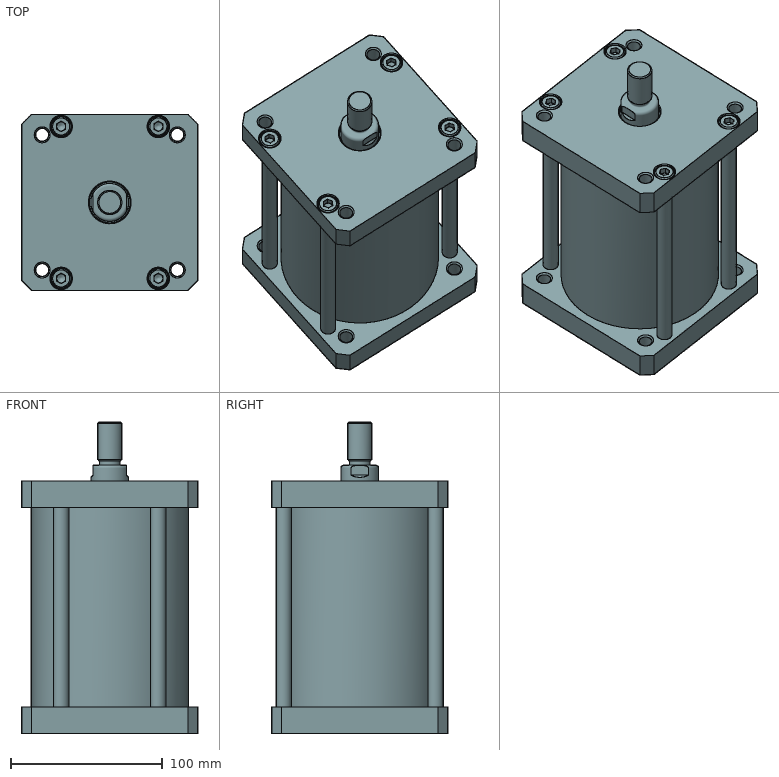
import cadquery as cq
import math

TOTAL_HEIGHT = 205.0
PLATE_SIDE = 116.0
PLATE_THICKNESS = 17.6
PLATE_CORNER_CHAMFER = 6.5
BARREL_LENGTH = 131.2
BARREL_DIAMETER = 103.7

UPPER_PLATE_BOTTOM = PLATE_THICKNESS + BARREL_LENGTH
UPPER_PLATE_TOP = UPPER_PLATE_BOTTOM + PLATE_THICKNESS

MOUNT_HOLE_OFFSET = 44.5
MOUNT_HOLE_DIAMETER = 8.5
MOUNT_CHAMFER_DIAMETER = 10.5
MOUNT_CHAMFER_ANGLE = 90.0

TIE_OFFSET_X = 32.0
TIE_OFFSET_Y = 50.0
TIE_DIAMETER = 10.0
HEAD_DIAMETER = 13.0
HEAD_HEIGHT = 8.0
HEAD_CHAMFER = 0.8
HEAD_BORE_DIAMETER = 13.5
HEAD_BORE_CHAMFER = 0.6
HEX_ACROSS_FLATS = 6.0
HEX_DEPTH = 4.0
HEX_POINT_ANGLE = 120.0

HEAD_SEAT = UPPER_PLATE_TOP - HEAD_HEIGHT

ROD_DIAMETER = 25.0
ROD_SHOULDER_TOP = 176.7
ROD_SHOULDER_FILLET = 2.0
WRENCH_ACROSS_FLATS = 22.1
WRENCH_FLAT_BOTTOM = 170.2
THREAD_DIAMETER = 16.0
THREAD_BOTTOM = 180.6
THREAD_TIP_CHAMFER = 0.8
NECK_DIAMETER = 13.5
NECK_FILLET = 0.8

RECESS_DIAMETER = 26.9
RECESS_DEPTH = 3.0
RECESS_CHAMFER = 0.6

MOUNT_POINTS = [(sx * MOUNT_HOLE_OFFSET, sy * MOUNT_HOLE_OFFSET) for sx in (-1, 1) for sy in (-1, 1)]
TIE_POINTS = [(sx * TIE_OFFSET_X, sy * TIE_OFFSET_Y) for sx in (-1, 1) for sy in (-1, 1)]


def cylinder(diameter, bottom, top):
    """Upright cylinder on the Z axis."""
    return cq.Workplane("XY").workplane(offset=bottom).circle(diameter / 2).extrude(top - bottom)


def chamfered_bore(diameter, depth, chamfer):
    """Cutter for a blind bore in the top face of the upper plate, with a 45 degree chamfer at its mouth."""
    radius = diameter / 2
    bore = cylinder(diameter, UPPER_PLATE_TOP - depth, UPPER_PLATE_TOP)
    chamfer_base = cq.Vector(0, 0, UPPER_PLATE_TOP - chamfer)
    return bore.union(cq.Workplane(cq.Solid.makeCone(radius, radius + chamfer, chamfer, chamfer_base)))


def make_plate(bottom):
    """Square end plate with cut corners and four chamfered through holes."""
    plate = (
        cq.Workplane("XY")
        .workplane(offset=bottom)
        .rect(PLATE_SIDE, PLATE_SIDE)
        .extrude(PLATE_THICKNESS)
        .edges("|Z")
        .chamfer(PLATE_CORNER_CHAMFER)
    )
    drilled = plate.faces(">Z").workplane(origin=(0, 0, 0)).pushPoints(MOUNT_POINTS)
    return drilled.cskHole(MOUNT_HOLE_DIAMETER, MOUNT_CHAMFER_DIAMETER, MOUNT_CHAMFER_ANGLE)


def make_upper_plate():
    """End plate with a stepped rod bore and a counterbored hole for each tie rod."""
    plate = make_plate(UPPER_PLATE_BOTTOM)
    plate = plate.cut(cylinder(ROD_DIAMETER, UPPER_PLATE_BOTTOM, UPPER_PLATE_TOP))
    recess = chamfered_bore(RECESS_DIAMETER, RECESS_DEPTH, RECESS_CHAMFER)
    plate = plate.cut(recess)
    tie_hole = cylinder(TIE_DIAMETER, UPPER_PLATE_BOTTOM, UPPER_PLATE_TOP)
    tie_hole = tie_hole.union(chamfered_bore(HEAD_BORE_DIAMETER, HEAD_HEIGHT, HEAD_BORE_CHAMFER))
    for x, y in TIE_POINTS:
        plate = plate.cut(tie_hole.translate((x, y, 0)))
    return plate


def make_hex_socket():
    """Hexagonal socket that ends in a drill point, with its mouth at the top of the head."""
    half_hex_side_angle = 30
    flat_radius = HEX_ACROSS_FLATS / 2
    across_corners = HEX_ACROSS_FLATS / math.cos(math.radians(half_hex_side_angle))
    socket_floor = UPPER_PLATE_TOP - HEX_DEPTH
    socket = (
        cq.Workplane("XY")
        .workplane(offset=socket_floor)
        .polygon(6, across_corners)
        .extrude(HEX_DEPTH)
        .rotate((0, 0, 0), (0, 0, 1), half_hex_side_angle)
    )
    point_depth = flat_radius / math.tan(math.radians(HEX_POINT_ANGLE / 2))
    floor_center = cq.Vector(0, 0, socket_floor)
    point = cq.Workplane(cq.Solid.makeCone(flat_radius, 0, point_depth, floor_center, cq.Vector(0, 0, -1)))
    return socket.union(point)


def make_tie_rod(x, y):
    """Tie rod standing on the lower plate, its head flush with the upper plate."""
    head = cylinder(HEAD_DIAMETER, HEAD_SEAT, UPPER_PLATE_TOP).faces(">Z").chamfer(HEAD_CHAMFER)
    shank = cylinder(TIE_DIAMETER, PLATE_THICKNESS, HEAD_SEAT)
    return shank.union(head).cut(make_hex_socket()).translate((x, y, 0))


def make_piston_rod():
    """Stepped rod with two wrench flats, a relief neck and a threaded end."""
    rod_radius = ROD_DIAMETER / 2
    thread_radius = THREAD_DIAMETER / 2
    neck_radius = NECK_DIAMETER / 2
    neck_taper = thread_radius - neck_radius
    rod = (
        cq.Workplane("XZ")
        .moveTo(0, UPPER_PLATE_BOTTOM)
        .lineTo(rod_radius, UPPER_PLATE_BOTTOM)
        .lineTo(rod_radius, ROD_SHOULDER_TOP - ROD_SHOULDER_FILLET)
        .radiusArc((rod_radius - ROD_SHOULDER_FILLET, ROD_SHOULDER_TOP), -ROD_SHOULDER_FILLET)
        .lineTo(neck_radius + NECK_FILLET, ROD_SHOULDER_TOP)
        .radiusArc((neck_radius, ROD_SHOULDER_TOP + NECK_FILLET), NECK_FILLET)
        .lineTo(neck_radius, THREAD_BOTTOM - neck_taper)
        .lineTo(thread_radius, THREAD_BOTTOM)
        .lineTo(thread_radius, TOTAL_HEIGHT - THREAD_TIP_CHAMFER)
        .lineTo(thread_radius - THREAD_TIP_CHAMFER, TOTAL_HEIGHT)
        .lineTo(0, TOTAL_HEIGHT)
        .close()
        .revolve(360, (0, 0, 0), (0, 1, 0))
    )
    flat = WRENCH_ACROSS_FLATS / 2
    runout = rod_radius - flat
    flat_cut = (
        cq.Workplane("XZ")
        .moveTo(flat, WRENCH_FLAT_BOTTOM)
        .lineTo(rod_radius, WRENCH_FLAT_BOTTOM - runout)
        .lineTo(rod_radius, ROD_SHOULDER_TOP)
        .lineTo(flat, ROD_SHOULDER_TOP)
        .close()
        .extrude(rod_radius, both=True)
    )
    return rod.cut(flat_cut).cut(flat_cut.mirror("YZ"))


lower_plate = make_plate(0)
upper_plate = make_upper_plate()
barrel = cylinder(BARREL_DIAMETER, PLATE_THICKNESS, UPPER_PLATE_BOTTOM)
piston_rod = make_piston_rod()
tie_rods = [make_tie_rod(x, y) for x, y in TIE_POINTS]

result = cq.Compound.makeCompound(
    [
        lower_plate.val(),
        upper_plate.val(),
        barrel.val(),
        piston_rod.val(),
        *[tie_rod.val() for tie_rod in tie_rods],
    ]
)